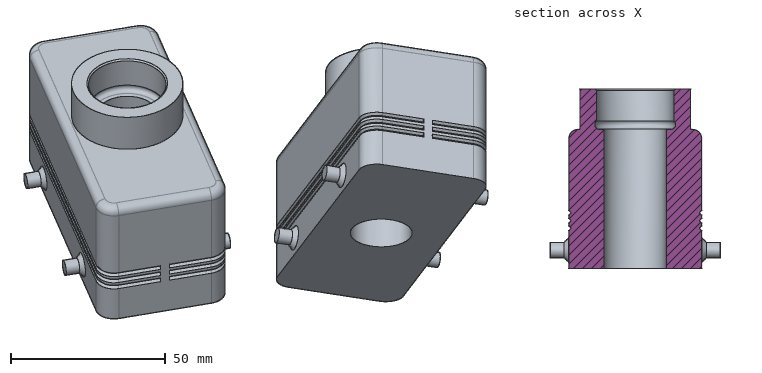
import cadquery as cq
import math

BODY_LENGTH = 93.5
BODY_WIDTH = 43.0
BODY_HEIGHT = 45.0
CORNER_RADIUS = 6.0
TOP_FILLET = 3.0

BOSS_DIAMETER = 36.0
BOSS_HEIGHT = 13.0
BORE_DIAMETER = 25.0
BORE_DEPTH = 13.0
BORE_MOUTH_CHAMFER = 0.5
UNDERCUT_DIAMETER = 26.0
UNDERCUT_ARC_RADIUS = 1.5
ENTRY_HOLE_DIAMETER = 20.0

PIN_SPACING = 47.5
PIN_HEIGHT = 6.0
PIN_DIAMETER = 5.0
PIN_TIP_SPAN = 55.0
COLLAR_DIAMETER = 8.0
COLLAR_LENGTH = (COLLAR_DIAMETER - PIN_DIAMETER) / 2

GROOVE_COUNT = 3
GROOVE_DEPTH = 0.75
GROOVE_FLANK_ANGLE = 45.0
GROOVE_PITCH = 2.5
LOWEST_GROOVE_HEIGHT = 13.0
GROOVE_GAP = 3.0

TOTAL_HEIGHT = BODY_HEIGHT + BOSS_HEIGHT


def make_body():
    """Block with rounded upright corners and a rounded top rim."""
    block = cq.Workplane("XY").box(BODY_LENGTH, BODY_WIDTH, BODY_HEIGHT, centered=(True, True, False))
    return block.edges("|Z").fillet(CORNER_RADIUS).faces(">Z").edges().fillet(TOP_FILLET)


def make_boss():
    return cq.Workplane("XY").workplane(offset=BODY_HEIGHT).circle(BOSS_DIAMETER / 2).extrude(BOSS_HEIGHT)


def make_bore():
    """Chamfered bore ending in a round-bottomed undercut, plus the entry hole through the whole part."""
    bore_radius = BORE_DIAMETER / 2
    floor = TOTAL_HEIGHT - BORE_DEPTH
    undercut_center = UNDERCUT_DIAMETER / 2 - UNDERCUT_ARC_RADIUS
    undercut_middle = floor + UNDERCUT_ARC_RADIUS
    arc_offset = bore_radius - undercut_center
    undercut_top = undercut_middle + math.sqrt(UNDERCUT_ARC_RADIUS**2 - arc_offset**2)
    profile = (
        cq.Workplane("XZ")
        .moveTo(0, floor)
        .lineTo(undercut_center, floor)
        .threePointArc((UNDERCUT_DIAMETER / 2, undercut_middle), (bore_radius, undercut_top))
        .lineTo(bore_radius, TOTAL_HEIGHT - BORE_MOUTH_CHAMFER)
        .lineTo(bore_radius + BORE_MOUTH_CHAMFER, TOTAL_HEIGHT)
        .lineTo(0, TOTAL_HEIGHT)
        .close()
    )
    bore = profile.revolve(360, (0, 0, 0), (0, 1, 0))
    entry_hole = cq.Workplane("XY").circle(ENTRY_HOLE_DIAMETER / 2).extrude(TOTAL_HEIGHT)
    return bore.union(entry_hole)


def make_groove(middle):
    """Material to remove for one V-groove whose deepest line is at the given height."""
    bottom = cq.Workplane("XY").workplane(offset=middle - GROOVE_DEPTH)
    top = cq.Workplane("XY").workplane(offset=middle + GROOVE_DEPTH)
    outline = cq.Sketch().rect(BODY_LENGTH, BODY_WIDTH).vertices().fillet(CORNER_RADIUS)
    ring = bottom.placeSketch(outline).extrude(2 * GROOVE_DEPTH)
    lower_flank = bottom.placeSketch(outline).extrude(GROOVE_DEPTH, taper=GROOVE_FLANK_ANGLE)
    upper_flank = top.placeSketch(outline).extrude(-GROOVE_DEPTH, taper=GROOVE_FLANK_ANGLE)
    gap = bottom.rect(BODY_LENGTH, GROOVE_GAP).extrude(2 * GROOVE_DEPTH)
    return ring.cut(lower_flank).cut(upper_flank).cut(gap)


def make_pin_pair(x):
    """Pins on both long sides, as one turned shape along Y that passes through the body."""
    tip = PIN_TIP_SPAN / 2
    wall = BODY_WIDTH / 2
    profile = (
        cq.Workplane("XY")
        .moveTo(0, -tip)
        .lineTo(PIN_DIAMETER / 2, -tip)
        .lineTo(PIN_DIAMETER / 2, -wall - COLLAR_LENGTH)
        .lineTo(COLLAR_DIAMETER / 2, -wall)
        .lineTo(COLLAR_DIAMETER / 2, wall)
        .lineTo(PIN_DIAMETER / 2, wall + COLLAR_LENGTH)
        .lineTo(PIN_DIAMETER / 2, tip)
        .lineTo(0, tip)
        .close()
    )
    return profile.revolve(360, (0, 0, 0), (0, 1, 0)).translate((x, 0, PIN_HEIGHT))


result = make_body().union(make_boss())
for index in range(GROOVE_COUNT):
    result = result.cut(make_groove(LOWEST_GROOVE_HEIGHT + index * GROOVE_PITCH))
for side in (-1, 1):
    result = result.union(make_pin_pair(side * PIN_SPACING / 2))
result = result.cut(make_bore())